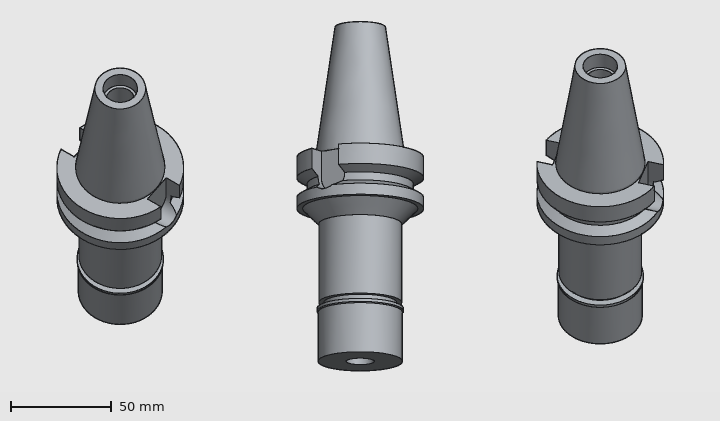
import cadquery as cq

TOTAL_HEIGHT = 170.4
GAUGE_HEIGHT = 105.0
FLANGE_TOP = 104.0
UPPER_RIM_BOTTOM = 93.5
GROOVE_TOP = 90.5
GROOVE_BOTTOM = 86.4
LOWER_RIM_TOP = 83.5
FLANGE_BOTTOM = 77.9
SHANK_TOP = 70.0
SHANK_BOTTOM = 30.0
NUT_TOP = 27.1
COLLAR_EDGE = 25.5
COLLAR_BOTTOM = 25.0

TAPER_SMALL_RADIUS = 12.6
TAPER_LARGE_RADIUS = 22.2
FLANGE_RADIUS = 31.5
GROOVE_RADIUS = 26.4
CONE_RADIUS = 28.6
SHANK_RADIUS = 20.6
NECK_RADIUS = 18.0
COLLAR_RADIUS = 21.5
NUT_RADIUS = 21.0
COUNTERBORE_RADIUS = 8.5
BORE_RADIUS = 7.0
COUNTERBORE_DEPTH = 9.0

SLOT_WIDTH = 16.0
SLOT_FLOOR_X = 22.3
SLOT_BOTTOM = 82.1


def revolve_profile(points):
    """Revolve a closed (radius, height) outline about the Z axis."""
    return cq.Workplane("XZ").polyline(points).close().revolve(360, (0, 0), (0, 1))


def drive_slot(side):
    """Round-bottomed slot cutter, open at the top; side is -1 or +1 along X."""
    slot_radius = SLOT_WIDTH / 2
    arc_height = SLOT_BOTTOM + slot_radius
    cutter = (
        cq.Workplane("YZ", origin=(side * SLOT_FLOOR_X, 0, 0))
        .moveTo(-slot_radius, GAUGE_HEIGHT)
        .lineTo(-slot_radius, arc_height)
        .threePointArc((0, SLOT_BOTTOM), (slot_radius, arc_height))
        .lineTo(slot_radius, GAUGE_HEIGHT)
        .close()
        .extrude(side * FLANGE_RADIUS)
    )
    return cutter


def make_holder():
    """Taper, grooved flange, shank and neck, with a stepped bore."""
    holder = revolve_profile([
        (BORE_RADIUS, NUT_TOP),
        (NECK_RADIUS, NUT_TOP),
        (NECK_RADIUS, SHANK_BOTTOM),
        (SHANK_RADIUS, SHANK_BOTTOM),
        (SHANK_RADIUS, SHANK_TOP),
        (CONE_RADIUS, FLANGE_BOTTOM),
        (FLANGE_RADIUS, FLANGE_BOTTOM),
        (FLANGE_RADIUS, LOWER_RIM_TOP),
        (GROOVE_RADIUS, GROOVE_BOTTOM),
        (GROOVE_RADIUS, GROOVE_TOP),
        (FLANGE_RADIUS, UPPER_RIM_BOTTOM),
        (FLANGE_RADIUS, FLANGE_TOP),
        (TAPER_LARGE_RADIUS, FLANGE_TOP),
        (TAPER_LARGE_RADIUS, GAUGE_HEIGHT),
        (TAPER_SMALL_RADIUS, TOTAL_HEIGHT),
        (COUNTERBORE_RADIUS, TOTAL_HEIGHT),
        (COUNTERBORE_RADIUS, TOTAL_HEIGHT - COUNTERBORE_DEPTH),
        (BORE_RADIUS, TOTAL_HEIGHT - COUNTERBORE_DEPTH),
    ])
    for side in (-1, 1):
        holder = holder.cut(drive_slot(side))
    return holder


def make_nut():
    """Clamping nut with a slightly wider collar, chamfered underneath."""
    return revolve_profile([
        (BORE_RADIUS, 0),
        (NUT_RADIUS, 0),
        (NUT_RADIUS, COLLAR_BOTTOM),
        (COLLAR_RADIUS, COLLAR_EDGE),
        (COLLAR_RADIUS, NUT_TOP),
        (BORE_RADIUS, NUT_TOP),
    ])


holder = make_holder()
nut = make_nut()

result = cq.Compound.makeCompound([holder.val(), nut.val()])